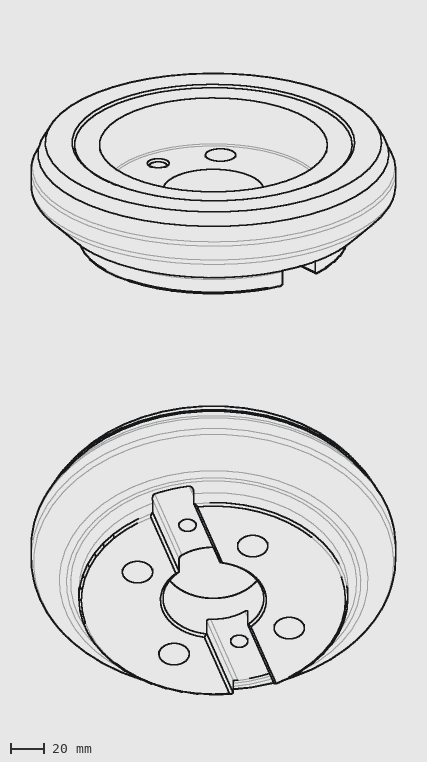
import cadquery as cq
import math

OVERALL_HEIGHT = 63.0
RIM_RADIUS = 217.0 / 2

RING_THICKNESS = 7.5
RING_TOP_RADIUS = 100.0
RING_BORE_RADIUS = 82.5
RING_BORE_CHAMFER = 1.5

UPPER_CONE_ANGLE = math.radians(30.0)
LOWER_CONE_ANGLE = math.radians(45.0)
SHOULDER_RADIUS = 103.0
RIM_BOTTOM_Z = 33.5
UPPER_RIM_FILLET = 5.0
LOWER_RIM_FILLET = UPPER_RIM_FILLET
FLANGE_FILLET = 6.0
FLANGE_BOTTOM_Z = 15.0
BOSS_RADIUS = 80.0
BOSS_FILLET = 5.0
BOSS_EDGE_FILLET = 1.5

RECESS_TOP_RADIUS = 67.75
RECESS_FLOOR_RADIUS = 65.0
RECESS_FLOOR_Z = 32.0
RECESS_FLOOR_FILLET = 1.0

CENTRE_BORE_DIAMETER = 60.0
CENTRE_BORE_CHAMFER = 1.5
BOLT_CIRCLE_DIAMETER = 101.6
BOLT_HOLE_DIAMETER = 18.0
BOLT_HOLE_COUNT = 4
FIRST_BOLT_HOLE_ANGLE = 45
TAPPED_HOLE_DIAMETER = 10.2
TAPPED_HOLE_MOUTH_DIAMETER = 13.0
TAPPED_HOLE_COUNT = 2
COUNTERSINK_ANGLE = 90

SLOT_WIDTH = 25.5
SLOT_DEPTH = 14.25
SLOT_CORNER_FILLET = 2.0
SLOT_EDGE_CHAMFER = 1.75

SHOULDER_Z = OVERALL_HEIGHT - RING_THICKNESS
WHEEL_TOP_Z = OVERALL_HEIGHT - RING_BORE_CHAMFER
RING_BOTTOM_RADIUS = RING_TOP_RADIUS + RING_THICKNESS * math.tan(UPPER_CONE_ANGLE)
RIM_TOP_Z = SHOULDER_Z - (RIM_RADIUS - SHOULDER_RADIUS) / math.tan(UPPER_CONE_ANGLE)
FLANGE_RADIUS = RIM_RADIUS - (RIM_BOTTOM_Z - FLANGE_BOTTOM_Z) * math.tan(LOWER_CONE_ANGLE)


def revolve_outline(points):
    """Turn a closed (radius, height) outline about the Z axis."""
    return cq.Workplane("XZ").polyline(points).close().revolve(360, (0, 0, 0), (0, 1, 0))


def circle_edges_at(body, radius, height):
    """Select the full circles of one radius at one height, centred on the Z axis."""
    tolerance = 1e-3
    edges = [
        edge
        for edge in body.edges("%CIRCLE").vals()
        if abs(edge.radius() - radius) < tolerance
        and abs(edge.Center().z - height) < tolerance
    ]
    return body.newObject(edges)


def make_ring():
    """Flat ring with a conical rim and a chamfered bore."""
    return revolve_outline([
        (RING_BORE_RADIUS, SHOULDER_Z),
        (RING_BOTTOM_RADIUS, SHOULDER_Z),
        (RING_TOP_RADIUS, OVERALL_HEIGHT),
        (RING_BORE_RADIUS + RING_BORE_CHAMFER, OVERALL_HEIGHT),
        (RING_BORE_RADIUS, WHEEL_TOP_Z),
    ])


def make_wheel_blank():
    """Solid turned wheel: boss, flared flange, rim, shoulder and raised centre."""
    blank = revolve_outline([
        (0, 0),
        (BOSS_RADIUS, 0),
        (BOSS_RADIUS, FLANGE_BOTTOM_Z),
        (FLANGE_RADIUS, FLANGE_BOTTOM_Z),
        (RIM_RADIUS, RIM_BOTTOM_Z),
        (RIM_RADIUS, RIM_TOP_Z),
        (SHOULDER_RADIUS, SHOULDER_Z),
        (RING_BORE_RADIUS, SHOULDER_Z),
        (RING_BORE_RADIUS, WHEEL_TOP_Z),
        (0, WHEEL_TOP_Z),
    ])
    for radius, height, fillet in [
        (RIM_RADIUS, RIM_TOP_Z, UPPER_RIM_FILLET),
        (RIM_RADIUS, RIM_BOTTOM_Z, LOWER_RIM_FILLET),
        (FLANGE_RADIUS, FLANGE_BOTTOM_Z, FLANGE_FILLET),
        (BOSS_RADIUS, FLANGE_BOTTOM_Z, BOSS_FILLET),
        (BOSS_RADIUS, 0, BOSS_EDGE_FILLET),
    ]:
        blank = circle_edges_at(blank, radius, height).fillet(fillet)
    return blank


def make_recess():
    """Tapered pocket with a rounded floor edge."""
    recess = revolve_outline([
        (0, RECESS_FLOOR_Z),
        (RECESS_FLOOR_RADIUS, RECESS_FLOOR_Z),
        (RECESS_TOP_RADIUS, WHEEL_TOP_Z),
        (0, WHEEL_TOP_Z),
    ])
    floor_edge = circle_edges_at(recess, RECESS_FLOOR_RADIUS, RECESS_FLOOR_Z)
    return floor_edge.fillet(RECESS_FLOOR_FILLET)


def make_slot():
    """Channel along X with rounded inner corners and chamfered bottom edges."""
    half_width = SLOT_WIDTH / 2
    length = 2 * RIM_RADIUS
    channel = (
        cq.Workplane("XY")
        .box(length, SLOT_WIDTH, SLOT_DEPTH, centered=(True, True, False))
        .edges("|X and >Z")
        .fillet(SLOT_CORNER_FILLET)
    )
    mouth = (
        cq.Workplane("YZ")
        .polyline([
            (-half_width - SLOT_EDGE_CHAMFER, 0),
            (half_width + SLOT_EDGE_CHAMFER, 0),
            (half_width, SLOT_EDGE_CHAMFER),
            (-half_width, SLOT_EDGE_CHAMFER),
        ])
        .close()
        .extrude(length / 2, both=True)
    )
    return channel.union(mouth)


def cut_web_holes(wheel):
    """Cut the centre bore, the bolt holes and the countersunk tapped holes."""
    floor = cq.Workplane("XY", origin=(0, 0, RECESS_FLOOR_Z))
    bolt_radius = BOLT_CIRCLE_DIAMETER / 2
    bore_radius = CENTRE_BORE_DIAMETER / 2
    centre_bore = revolve_outline([
        (0, 0),
        (bore_radius + CENTRE_BORE_CHAMFER, 0),
        (bore_radius, CENTRE_BORE_CHAMFER),
        (bore_radius, RECESS_FLOOR_Z),
        (0, RECESS_FLOOR_Z),
    ])
    bolt_holes = (
        floor.polarArray(bolt_radius, FIRST_BOLT_HOLE_ANGLE, 360, BOLT_HOLE_COUNT)
        .circle(BOLT_HOLE_DIAMETER / 2)
        .extrude(-RECESS_FLOOR_Z)
    )
    wheel = wheel.cut(centre_bore).cut(bolt_holes)
    return (
        wheel.copyWorkplane(floor)
        .polarArray(bolt_radius, 0, 360, TAPPED_HOLE_COUNT)
        .cskHole(TAPPED_HOLE_DIAMETER, TAPPED_HOLE_MOUTH_DIAMETER, COUNTERSINK_ANGLE, RECESS_FLOOR_Z)
    )


def make_wheel():
    return cut_web_holes(make_wheel_blank().cut(make_recess()).cut(make_slot()))


ring = make_ring()
wheel = make_wheel()

result = cq.Compound.makeCompound([wheel.val(), ring.val()])